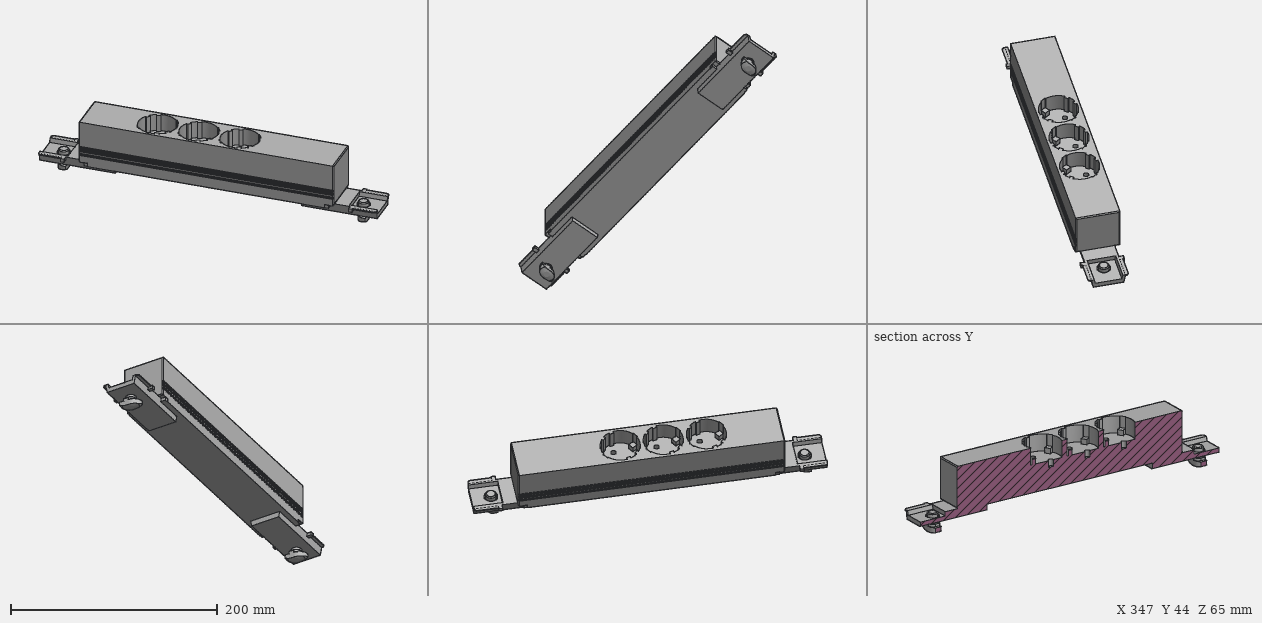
import cadquery as cq
import math

total_length = 347.0
total_height = 65.0

body_length = 262.0
body_width = 44.0
body_bottom = 17.5
end_chamfer = 1.0

groove_heights = (36.8, 33.3, 29.0)
groove_width = 1.7
groove_depth = 1.0

socket_count = 3
socket_pitch = 42.5
first_socket_x = -57.5
cup_radius = 19.5
cup_depth = 17.7
pin_angle = 124.0
pin_offset = 9.5
pin_radius = 2.6
pin_depth = 7.0
contact_width = 6.0
contact_inner_radius = 14.2
contact_groove_radius = 20.0
contact_height = 5.5
rib_spread = 17.0
rib_width = 4.0
rib_inner_radius = 17.5

bracket_length = 77.8
bracket_bottom = 11.5
bracket_top = 20.8
bracket_half_width_top = 17.0
bracket_half_width_bottom = 15.3
flange_length = 27.5
flange_width = 40.3
flange_thickness = 1.0
flange_corner = 1.7
tab_length = 3.8
tab_width = 43.0
tab_inner_end = 51.7
recess_length = 28.8
recess_floor = 16.3
recess_half_width_top = 14.2
recess_half_width_floor = 13.2

bolt_inset = 19.5
bolt_radius = 5.2
clearance_radius = 6.5
clearance_depth = 1.7
bolt_top = 20.0
bolt_chamfer = 1.0
neck_radius = 5.0
neck_square = 5.2
collar_bottom = 9.0
head_top = 6.2
head_length = 20.0
head_corner_radius = 9.7
head_taper_start = 3.0
head_taper_end = 1.0
head_taper_radius = 8.5
head_tip_radius = 3.0


def block(x_range, y_range, z_range):
    """Axis-aligned box given by its limits."""
    size = [high - low for low, high in (x_range, y_range, z_range)]
    corner = (x_range[0], y_range[0], z_range[0])
    return cq.Workplane("XY").box(*size, centered=False).translate(corner)


def trapezoid_bar(x_start, length, half_bottom, half_top, z_bottom, z_top):
    """Bar along X with sloping sides, symmetric about Y = 0."""
    profile = [
        (-half_bottom, z_bottom),
        (half_bottom, z_bottom),
        (half_top, z_top),
        (-half_top, z_top),
    ]
    return cq.Workplane("YZ").polyline(profile).close().extrude(length).translate((x_start, 0, 0))


def make_housing():
    half_length = body_length / 2
    half_width = body_width / 2
    leg_end = total_length / 2 - tab_inner_end
    upper = block((-half_length, half_length), (-half_width, half_width), (bracket_top, total_height))
    upper = upper.faces("<X or >X").chamfer(end_chamfer)
    lower = block((-leg_end, leg_end), (-half_width, half_width), (body_bottom, bracket_top))
    housing = upper.union(lower)
    groove_length = body_length - 2 * end_chamfer
    for z in groove_heights:
        for side in (-1, 1):
            groove = cq.Workplane("XY").box(groove_length, 2 * groove_depth, groove_width)
            housing = housing.cut(groove.translate((0, side * half_width, z)))
    return housing


def wall_bar(angle, radial_range, width, height):
    """Upright bar standing on the cup floor at the given angle around the cup."""
    bar = block(radial_range, (-width / 2, width / 2), (-cup_depth, height - cup_depth))
    return bar.rotate((0, 0, 0), (0, 0, 1), angle)


def make_socket_cavity():
    """Material removed by one socket, with its rim centred on the origin."""
    cavity = cq.Workplane("XY").circle(cup_radius).extrude(-cup_depth)
    rib_range = (rib_inner_radius, cup_radius)
    for half_turn in (0, 180):
        axis = pin_angle + half_turn
        contact_axis = axis - 90
        groove_range = (contact_inner_radius, contact_groove_radius)
        cavity = cavity.union(wall_bar(contact_axis, groove_range, contact_width, cup_depth))
        cavity = cavity.cut(wall_bar(contact_axis, groove_range, contact_width, contact_height))
        for spread in (-rib_spread, rib_spread):
            cavity = cavity.cut(wall_bar(axis + spread, rib_range, rib_width, cup_depth))
    for half_turn in (0, 180):
        axis = math.radians(pin_angle + half_turn)
        center = (pin_offset * math.cos(axis), pin_offset * math.sin(axis))
        pin_hole = cq.Workplane("XY").center(*center).circle(pin_radius).extrude(-cup_depth - pin_depth)
        cavity = cavity.union(pin_hole)
    return cavity


def make_bracket():
    """Bracket for the -X end."""
    outer = -total_length / 2
    half_flange = flange_width / 2
    half_tab = tab_width / 2
    bracket = trapezoid_bar(
        outer, bracket_length,
        bracket_half_width_bottom, bracket_half_width_top,
        bracket_bottom, bracket_top,
    )
    flange = block(
        (outer, outer + flange_length),
        (-half_flange, half_flange),
        (bracket_top - flange_thickness, bracket_top),
    )
    bracket = bracket.union(flange.edges("|Z and <X").chamfer(flange_corner))
    for tab_end in (flange_length, tab_inner_end):
        tab = block(
            (outer + tab_end - tab_length, outer + tab_end),
            (-half_tab, half_tab),
            (body_bottom, bracket_top),
        )
        bracket = bracket.union(tab)
    recess = trapezoid_bar(
        outer, recess_length,
        recess_half_width_floor, recess_half_width_top,
        recess_floor, bracket_top,
    )
    clearance = cq.Workplane("XY").circle(clearance_radius).extrude(clearance_depth)
    clearance = clearance.translate((outer + bolt_inset, 0, recess_floor - clearance_depth))
    return bracket.cut(recess).cut(clearance)


def make_bolt():
    """Clamp bolt on the Z axis: round shank, half-squared neck and hammer head."""
    shank = cq.Workplane("XY").workplane(offset=collar_bottom).circle(bolt_radius)
    shank = shank.extrude(bolt_top - collar_bottom).faces(">Z").chamfer(bolt_chamfer)
    neck = cq.Workplane("XY").workplane(offset=head_top).circle(neck_radius)
    neck = neck.extrude(collar_bottom - head_top)
    stop_height = (head_top, collar_bottom)
    neck = neck.union(block((-neck_square, 0), (0, neck_square), stop_height))
    neck = neck.union(block((0, neck_square), (-neck_square, 0), stop_height))

    half_head = head_length / 2
    head = block((-neck_square, neck_square), (-half_head, half_head), (0, head_top))
    head = head.edges("(|Z and <X and <Y) or (|Z and >X and >Y)").fillet(head_corner_radius)
    reach = math.hypot(neck_square, half_head)
    tip_profile = [
        (0, 0),
        (head_tip_radius, 0),
        (head_taper_radius, head_taper_end),
        (reach, head_taper_start),
        (reach, head_top),
        (0, head_top),
    ]
    tip = cq.Workplane("XZ").polyline(tip_profile).close().revolve(360, (0, 0), (0, 1))
    return shank.union(neck).union(head.intersect(tip))


result = make_housing()
for index in range(socket_count):
    socket_x = first_socket_x + index * socket_pitch
    result = result.cut(make_socket_cavity().translate((socket_x, 0, total_height)))

bracket = make_bracket()
result = result.union(bracket).union(bracket.mirror("YZ"))
for side in (-1, 1):
    bolt_x = side * (total_length / 2 - bolt_inset)
    result = result.union(make_bolt().translate((bolt_x, 0, 0)))